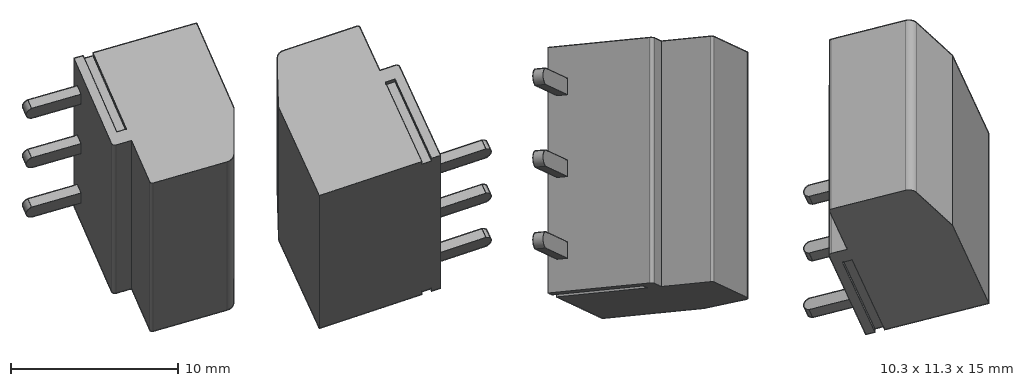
import cadquery as cq

WIDTH = 10.3
BODY_DEPTH = 7.79
HEIGHT = 15.03
BASE_WIDTH = 6.9
BASE_STEP = 1.2
BEVEL_START = 6.69
BEVEL_DROP = 1.31
BASE_CORNER_RADIUS = 0.21
FRONT_CORNER_RADIUS = 0.15
BEVEL_CORNER_RADIUS = 0.6

SLOT_LENGTH = 6.0
SLOT_FRONT = 0.59
SLOT_BACK = BASE_STEP
SLOT_DEPTH = 0.3

PIN_COUNT = 3
PIN_PITCH = 5.0
PIN_START_X = 0.6
PIN_THICKNESS = 0.68
PIN_HEIGHT = 1.0
PIN_LENGTH = 3.49
PIN_TIP_BULGE = 0.35


def corner_edge(body, x, y):
    """Select the upright edge of the body that passes through (x, y)."""
    return body.edges(cq.selectors.NearestToPointSelector((x, y, HEIGHT / 2)))


def make_blank():
    """Extrude the stepped and bevelled profile, then round its corners."""
    blank = (
        cq.Workplane("XY")
        .polyline([
            (0, 0),
            (BASE_WIDTH, 0),
            (BASE_WIDTH, BASE_STEP),
            (WIDTH, BASE_STEP),
            (WIDTH, BODY_DEPTH - BEVEL_DROP),
            (BEVEL_START, BODY_DEPTH),
            (0, BODY_DEPTH),
        ])
        .close()
        .extrude(HEIGHT)
    )
    blank = corner_edge(blank, BASE_WIDTH, 0).fillet(BASE_CORNER_RADIUS)
    blank = corner_edge(blank, WIDTH, BASE_STEP).fillet(FRONT_CORNER_RADIUS)
    return corner_edge(blank, WIDTH, BODY_DEPTH - BEVEL_DROP).fillet(BEVEL_CORNER_RADIUS)


def make_slot(bottom_z):
    """Box that cuts one end slot, with its lowest face at bottom_z."""
    return (
        cq.Workplane("XY")
        .box(SLOT_LENGTH, SLOT_BACK - SLOT_FRONT, SLOT_DEPTH, centered=False)
        .translate((0, SLOT_FRONT, bottom_z))
    )


def make_housing():
    """Housing with a slot in the top face and a matching one in the bottom face."""
    housing = make_blank()
    for bottom_z in (0, HEIGHT - SLOT_DEPTH):
        housing = housing.cut(make_slot(bottom_z))
    return housing


def make_pin(center_z):
    """Flat pin standing on the pin face, with a tip rounded in the YZ plane."""
    half_height = PIN_HEIGHT / 2
    shoulder_y = PIN_TIP_BULGE - PIN_LENGTH
    return (
        cq.Workplane("YZ", origin=(PIN_START_X, 0, center_z))
        .moveTo(0, half_height)
        .lineTo(shoulder_y, half_height)
        .threePointArc((-PIN_LENGTH, 0), (shoulder_y, -half_height))
        .lineTo(0, -half_height)
        .close()
        .extrude(PIN_THICKNESS)
    )


housing = make_housing()

pins = []
for index in range(PIN_COUNT):
    offset = (index - (PIN_COUNT - 1) / 2) * PIN_PITCH
    pins.append(make_pin(HEIGHT / 2 + offset))

result = cq.Compound.makeCompound([housing.val(), *[pin.val() for pin in pins]])